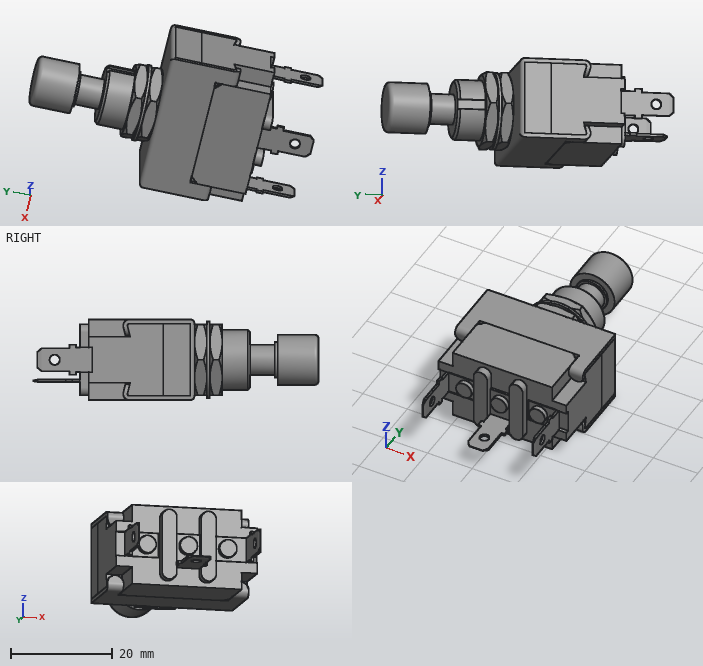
import cadquery as cq
import math


FRAME_WIDTH = 28.8
FRAME_HEIGHT = 16.0
SHEET = 0.85
FRONT_EDGE_RADIUS = 0.85
WINDOW_Y = -9.7
WINDOW_WIDTH = 22.4
HOOK_BEND_Y = -12.9
HOOK_BEND_RADIUS = 1.25
HOOK_BEND_ANGLE = 104.0
HOOK_DEPTH = 3.1
HOOK_INNER_RADIUS = HOOK_BEND_RADIUS - SHEET
HOOK_WIDTH = (FRAME_WIDTH - WINDOW_WIDTH) / 2

LID_BACK_Y = -6.15
INNER_HEIGHT = FRAME_HEIGHT - 2 * SHEET

BASE_BACK_Y = -20.95
CORNER_CUT = 1.35
NOTCH_FLOOR_Z = 4.6
RIB_OFFSET_X = 4.0
RIB_WIDTH = 3.05
RIB_LENGTH = 14.1
RIB_HEIGHT = 1.75
SEAT_DEPTH = 0.75

BLADE_THICKNESS = 0.5
ROOT_WIDTH = 4.9
SHOULDER_WIDTH = 6.0
TONGUE_WIDTH = 4.6
SHOULDER_START = 3.2
SHOULDER_END = 4.6
HOLE_POSITION = 7.45
HOLE_DIAMETER = 2.0
TIP_START = 10.05
BLADE_LENGTH = 10.95
TIP_CORNER = 0.8
TIP_THICKNESS = 0.15
RIVET_DIAMETER = 3.5
RIVET_TOP = 1.6
RIVET_TO_BLADE = 4.4
FOOT_OVERHANG = 2.5
SIDE_RIVET_X = 8.25

HEX_FLATS = 14.05
HEX_THICKNESS = 2.45
HEX_CHAMFER_ANGLE = 30.0
WASHER_DIAMETER = 15.25
WASHER_THICKNESS = 0.6
BUSHING_DIAMETER = 12.0
BUSHING_LENGTH = 11.0
BUSHING_CHAMFER = 0.5
KEYWAY_WIDTH = 1.9
KEYWAY_DEPTH = 0.55

STEM_DIAMETER = 6.05
COLLAR_DIAMETER = 7.05
COLLAR_START_Y = 15.9
CAP_DIAMETER = 10.0
CAP_START_Y = 16.45
CAP_END_Y = 24.6
CAP_EDGE_RADIUS = 0.85


def block(width, height, back_y, front_y):
    """Box centred on the push axis, between two Y positions."""
    depth = front_y - back_y
    return cq.Workplane("XY").box(width, depth, height).translate((0, back_y + depth / 2, 0))


def disc(diameter, back_y, front_y):
    """Cylinder on the push axis, between two Y positions."""
    return cq.Workplane("XZ", origin=(0, back_y, 0)).circle(diameter / 2).extrude(back_y - front_y)


def mirrored_in_four(corner_part):
    """A corner part followed by its mirror images across X = 0, Z = 0 and both."""
    pair = [corner_part, corner_part.mirror("YZ")]
    return pair + [part.mirror("XY") for part in pair]


def on_hook_bend(radius, degrees):
    """(Y, Z) on an arc of the upper hooks' bend, this far round from the flat plate."""
    turn = math.radians(degrees)
    center_z = FRAME_HEIGHT / 2 - HOOK_BEND_RADIUS
    return (HOOK_BEND_Y - radius * math.sin(turn), center_z + radius * math.cos(turn))


def past_hook_bend(radius, z):
    """(Y, Z) on the straight continuation of that arc, at a given height."""
    bend_end_y, bend_end_z = on_hook_bend(radius, HOOK_BEND_ANGLE)
    lean = math.radians(HOOK_BEND_ANGLE - 90)
    return (bend_end_y + (bend_end_z - z) * math.tan(lean), z)


def make_hook():
    """Hook at the +X, +Z corner: a strip bent inward, with a full-round end."""
    inner_x = WINDOW_WIDTH / 2
    tip_z = FRAME_HEIGHT / 2 - HOOK_DEPTH
    half_turn = HOOK_BEND_ANGLE / 2
    strip = (
        cq.Workplane("YZ", origin=(inner_x, 0, 0))
        .moveTo(*on_hook_bend(HOOK_BEND_RADIUS, 0))
        .threePointArc(
            on_hook_bend(HOOK_BEND_RADIUS, half_turn),
            on_hook_bend(HOOK_BEND_RADIUS, HOOK_BEND_ANGLE),
        )
        .lineTo(*past_hook_bend(HOOK_BEND_RADIUS, tip_z))
        .lineTo(*past_hook_bend(HOOK_INNER_RADIUS, tip_z))
        .lineTo(*on_hook_bend(HOOK_INNER_RADIUS, HOOK_BEND_ANGLE))
        .threePointArc(on_hook_bend(HOOK_INNER_RADIUS, half_turn), on_hook_bend(HOOK_INNER_RADIUS, 0))
        .close()
        .extrude(HOOK_WIDTH)
    )
    round_start_z = tip_z + HOOK_WIDTH / 2
    outer_x = FRAME_WIDTH / 2
    rounded_end = (
        cq.Workplane("XZ", origin=(0, HOOK_BEND_Y, 0))
        .moveTo(inner_x, FRAME_HEIGHT / 2)
        .lineTo(inner_x, round_start_z)
        .threePointArc((inner_x + HOOK_WIDTH / 2, tip_z), (outer_x, round_start_z))
        .lineTo(outer_x, FRAME_HEIGHT / 2)
        .close()
        .extrude(2 * HOOK_BEND_RADIUS, both=True)
    )
    return strip.intersect(rounded_end)


def make_frame():
    """U-shaped sheet: front plate, top and bottom plates with windows, and four hooks."""
    frame = block(FRAME_WIDTH, FRAME_HEIGHT, HOOK_BEND_Y, 0)
    frame = frame.faces(">Y").edges().fillet(FRONT_EDGE_RADIUS)
    frame = frame.cut(block(FRAME_WIDTH, INNER_HEIGHT, HOOK_BEND_Y, -SHEET))
    frame = frame.cut(block(WINDOW_WIDTH, FRAME_HEIGHT, HOOK_BEND_Y, WINDOW_Y))
    for hook in mirrored_in_four(make_hook()):
        frame = frame.union(hook)
    return frame


def make_lid():
    return block(FRAME_WIDTH, INNER_HEIGHT, LID_BACK_Y, -SHEET)


def make_corner_notch():
    """Space for the +X, +Z hook; its front wall follows the inner face of the hook."""
    plate_underside_z = INNER_HEIGHT / 2
    return (
        cq.Workplane("YZ", origin=(WINDOW_WIDTH / 2, 0, 0))
        .moveTo(*on_hook_bend(HOOK_INNER_RADIUS, 0))
        .threePointArc(
            on_hook_bend(HOOK_INNER_RADIUS, HOOK_BEND_ANGLE / 2),
            on_hook_bend(HOOK_INNER_RADIUS, HOOK_BEND_ANGLE),
        )
        .lineTo(*past_hook_bend(HOOK_INNER_RADIUS, NOTCH_FLOOR_Z))
        .lineTo(BASE_BACK_Y, NOTCH_FLOOR_Z)
        .lineTo(BASE_BACK_Y, plate_underside_z)
        .close()
        .extrude(HOOK_WIDTH)
    )


def make_base():
    """Base with a middle that fills the frame windows, corner notches, seats and ribs."""
    base = block(FRAME_WIDTH, INNER_HEIGHT, BASE_BACK_Y, LID_BACK_Y)
    middle = block(WINDOW_WIDTH, FRAME_HEIGHT, BASE_BACK_Y, WINDOW_Y)
    base = base.union(middle.faces(">Y").edges("|Z").chamfer(CORNER_CUT))

    for corner_notch in mirrored_in_four(make_corner_notch()):
        base = base.cut(corner_notch)

    seat_end_x = SIDE_RIVET_X - FOOT_OVERHANG
    seat_length = FRAME_WIDTH / 2 - seat_end_x
    seat = block(seat_length, ROOT_WIDTH, BASE_BACK_Y, BASE_BACK_Y + SEAT_DEPTH)
    for side in (-1, 1):
        base = base.cut(seat.translate((side * (seat_end_x + seat_length / 2), 0, 0)))

    ribs = (
        cq.Workplane("XZ", origin=(0, BASE_BACK_Y, 0))
        .pushPoints([(-RIB_OFFSET_X, 0), (RIB_OFFSET_X, 0)])
        .slot2D(RIB_LENGTH, RIB_WIDTH, 90)
        .extrude(RIB_HEIGHT)
    )
    return base.union(ribs)


def make_terminal():
    """L-shaped terminal: seat at Y = 0, rivet on the Y axis, blade on the -X side pointing to -Y."""
    blade_x = -RIVET_TO_BLADE
    inner_x = blade_x + BLADE_THICKNESS
    middle_x = blade_x + BLADE_THICKNESS / 2
    half_tip = TIP_THICKNESS / 2
    side_profile = (
        cq.Workplane("XY")
        .moveTo(FOOT_OVERHANG, 0)
        .lineTo(inner_x, 0)
        .radiusArc((blade_x, -BLADE_THICKNESS), -BLADE_THICKNESS)
        .lineTo(blade_x, -TIP_START)
        .lineTo(middle_x - half_tip, -BLADE_LENGTH)
        .lineTo(middle_x + half_tip, -BLADE_LENGTH)
        .lineTo(inner_x, -TIP_START)
        .lineTo(inner_x, -BLADE_THICKNESS)
        .lineTo(FOOT_OVERHANG, -BLADE_THICKNESS)
        .close()
        .extrude(SHOULDER_WIDTH / 2, both=True)
    )
    half_outline = [
        (0, 0),
        (0, ROOT_WIDTH / 2),
        (-SHOULDER_START, ROOT_WIDTH / 2),
        (-SHOULDER_START, SHOULDER_WIDTH / 2),
        (-SHOULDER_END, SHOULDER_WIDTH / 2),
        (-SHOULDER_END, TONGUE_WIDTH / 2),
        (-TIP_START, TONGUE_WIDTH / 2),
        (-BLADE_LENGTH, TONGUE_WIDTH / 2 - TIP_CORNER),
        (-BLADE_LENGTH, 0),
    ]
    span = RIVET_TO_BLADE + FOOT_OVERHANG
    blade_outline = (
        cq.Workplane("YZ", origin=(blade_x, 0, 0))
        .polyline(half_outline)
        .mirrorX()
        .extrude(span)
    )
    hole = (
        cq.Workplane("YZ", origin=(blade_x, 0, 0))
        .center(-HOLE_POSITION, 0)
        .circle(HOLE_DIAMETER / 2)
        .extrude(BLADE_THICKNESS)
    )
    rivet = disc(RIVET_DIAMETER, -RIVET_TOP, 0)
    return side_profile.intersect(blade_outline).cut(hole).union(rivet)


def make_terminals():
    """Two terminals in the side seats with blades outward, one on the back face with its blade below."""
    seat_y = BASE_BACK_Y + SEAT_DEPTH
    placements = [
        (0, (-SIDE_RIVET_X, seat_y, 0)),
        (180, (SIDE_RIVET_X, seat_y, 0)),
        (-90, (0, BASE_BACK_Y, 0)),
    ]
    terminals = []
    for turn, position in placements:
        turned = make_terminal().rotate((0, 0, 0), (0, 1, 0), turn)
        terminals.append(turned.translate(position))
    return terminals


def make_hexagon(back_y):
    """Hexagon with flats facing +Z and -Z, its corners chamfered at both faces."""
    corner_radius = HEX_FLATS / 2 / math.cos(math.pi / 6)
    chamfer_drop = (corner_radius - HEX_FLATS / 2) * math.tan(math.radians(HEX_CHAMFER_ANGLE))
    prism = (
        cq.Workplane("XZ", origin=(0, back_y, 0))
        .polygon(6, 2 * corner_radius)
        .extrude(-HEX_THICKNESS)
    )
    turned_blank = (
        cq.Workplane("XY")
        .polyline([
            (0, 0),
            (HEX_FLATS / 2, 0),
            (corner_radius, chamfer_drop),
            (corner_radius, HEX_THICKNESS - chamfer_drop),
            (HEX_FLATS / 2, HEX_THICKNESS),
            (0, HEX_THICKNESS),
        ])
        .close()
        .revolve(360, (0, 0, 0), (0, 1, 0))
        .translate((0, back_y, 0))
    )
    return prism.intersect(turned_blank)


def make_bushing():
    """Round bushing with a keyway on its -X side, two hexagons and a washer ring."""
    washer_front_y = HEX_THICKNESS + WASHER_THICKNESS
    bushing = disc(BUSHING_DIAMETER, 0, BUSHING_LENGTH).faces(">Y").chamfer(BUSHING_CHAMFER)
    keyway = block(KEYWAY_DEPTH, KEYWAY_WIDTH, washer_front_y + HEX_THICKNESS, BUSHING_LENGTH)
    bushing = bushing.cut(keyway.translate(((KEYWAY_DEPTH - BUSHING_DIAMETER) / 2, 0, 0)))
    bushing = bushing.union(disc(WASHER_DIAMETER, HEX_THICKNESS, washer_front_y))
    for back_y in (0, washer_front_y):
        bushing = bushing.union(make_hexagon(back_y))
    return bushing


def make_plunger():
    """Stem, collar and round cap, starting at the end face of the bushing."""
    cap = disc(CAP_DIAMETER, CAP_START_Y, CAP_END_Y).faces(">Y").edges().fillet(CAP_EDGE_RADIUS)
    stem = disc(STEM_DIAMETER, BUSHING_LENGTH, COLLAR_START_Y)
    collar = disc(COLLAR_DIAMETER, COLLAR_START_Y, CAP_START_Y)
    return stem.union(collar).union(cap)


frame = make_frame()
lid = make_lid()
base = make_base()
terminals = make_terminals()
bushing = make_bushing()
plunger = make_plunger()

result = cq.Compound.makeCompound([
    frame.val(),
    lid.val(),
    base.val(),
    *[terminal.val() for terminal in terminals],
    bushing.val(),
    plunger.val(),
])